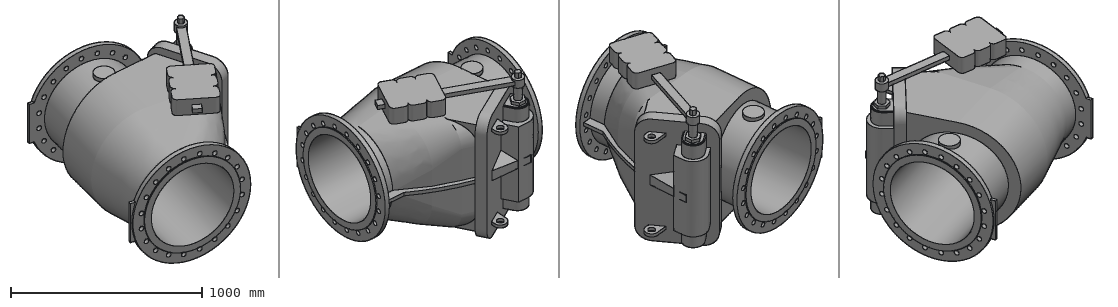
import cadquery as cq
import math


LENGTH = 1100.0
BORE_DIA = 500.0
PIPE_DIA = 546.0
FLANGE_DIA = 715.0
FLANGE_THICK = 29.0
RAISED_FACE_DIA = 582.0
RAISED_FACE_HEIGHT = 8.0
BOLT_COUNT = 20
BOLT_DIA = 28.0
BOLT_CIRCLE_DIA = 617.0
FOOT_REACH = 365.0
FOOT_DEPTH = 44.0
FOOT_WIDTH = 250.0
FOOT_THICK = 16.0

BOSS_DIA = 114.0
BOSS_X = 186.0
BOSS_TOP = 292.0

BODY_RADIUS = 341.0
FACE_AXIS_X = 283.0
FACE_LEAN = math.radians(9.9)
BODY_END_X = 636.0
BODY_TOP = 439.0
BODY_CORNER = 132.0
MIDDLE_X = 786.0
MIDDLE_TOP = 380.0
REDUCER_END_X = 968.0
REDUCER_END_FLAT = 1.0
SHOULDER_RUN = 79.0
SHOULDER_RISE = 28.0

BONNET_ANGLE = 30.0
BONNET_X = 160.0
BONNET_Y = 316.0
BONNET_LENGTH = 449.0
BONNET_WIDTH = 778.0
BONNET_CORNER = 91.0
COVER_THICK = 29.0
BODY_FLANGE_THICK = 37.0
TRUNK_INSET = 33.0

RIB_THICK = 22.0
RIB_MIDDLE = (781.0, 408.0)
RIB_END = (935.0, 326.0)

HOUSING_ALONG = 130.0
HOUSING_HEIGHT = 57.0
HOUSING_RADIUS = 84.0
HOUSING_SIDE = 227.0
HOUSING_WIDTH = 481.0
BEARING_RADIUS = 62.0
BEARING_WIDTH = 651.0
GLAND_RADIUS = 55.0
GLAND_THICK = 7.0

ROOF_START = (220.0, 517.0)
ROOF_END = (495.0, 498.0)
ROOF_BASE_Y = 396.0
ROOF_TOP_WIDTH = 44.0
ROOF_BASE_WIDTH = 176.0

LUG_X = 444.0
LUG_Y = 527.0
LUG_RADIUS = 40.0
LUG_HOLE_DIA = 40.0
LUG_THICK = 20.0
LUG_Z = 298.0
LUG_FOOT = 94.0

SHAFT_X = 242.0
SHAFT_Y = 433.0
SHAFT_DIA = 45.0
NUT_FLATS = 76.0
NUT_THICK = 20.0
HUB_DIA = 70.0
HUB_BOTTOM = 440.0
HUB_TOP = 491.0
TIP_FLATS = 33.0
OVERALL_HEIGHT = 913.0
LEVER_ANGLE = -24.0
LEVER_LENGTH = 773.0
LEVER_WIDTH = 52.0
LEVER_THICK = 25.0
LEVER_Z = 466.0
WEIGHT_COUNT = 3
WEIGHT_START = 426.0
WEIGHT_STACK = 308.0
WEIGHT_WIDTH = 253.0
WEIGHT_HEIGHT = 101.0
WEIGHT_CORNER = 26.0

PIPE_RADIUS = PIPE_DIA / 2
SHAFT_TOP = OVERALL_HEIGHT - BONNET_WIDTH / 2
WEIGHT_THICK = WEIGHT_STACK / WEIGHT_COUNT
BONNET_THICK = COVER_THICK + BODY_FLANGE_THICK
bonnet_cos = math.cos(math.radians(BONNET_ANGLE))
bonnet_sin = math.sin(math.radians(BONNET_ANGLE))


def rod(diameter, start, end):
    """Cylinder on the pipe axis from X = start to X = end."""
    return cq.Workplane("YZ", origin=(start, 0, 0)).circle(diameter / 2).extrude(end - start)


def upright(x, y, bottom):
    """Plane facing +Z at a height, with its origin at (x, y)."""
    return cq.Workplane("XY", origin=(x, y, bottom))


def hexagon(x, y, bottom, flats, height):
    """Upright hexagonal prism with two flats facing +Y and -Y."""
    across_corners = flats / math.cos(math.pi / 6)
    return upright(x, y, bottom).polygon(6, across_corners).extrude(height)


def on_bonnet(along, height):
    """(X, Y) of a point along the outer cover face and above it."""
    return (
        BONNET_X + along * bonnet_cos - height * bonnet_sin,
        BONNET_Y + along * bonnet_sin + height * bonnet_cos,
    )


def face_x(y):
    """X of the leaning inlet face at a given Y."""
    return FACE_AXIS_X - y * math.tan(FACE_LEAN)


def mirrored_ends(inlet_end):
    """The inlet end together with its mirror image at the outlet."""
    return inlet_end.union(inlet_end.mirror("YZ", (LENGTH / 2, 0, 0)))


def make_flanges():
    back = RAISED_FACE_HEIGHT + FLANGE_THICK
    flange = rod(FLANGE_DIA, RAISED_FACE_HEIGHT, back)
    bolts = (
        cq.Workplane("YZ")
        .polarArray(BOLT_CIRCLE_DIA / 2, 180 / BOLT_COUNT, 360, BOLT_COUNT)
        .circle(BOLT_DIA / 2)
        .extrude(back)
    )
    foot = cq.Workplane("XY").box(FOOT_THICK, FOOT_DEPTH, FOOT_WIDTH).translate(
        (back - FOOT_THICK / 2, FOOT_DEPTH / 2 - FOOT_REACH, 0)
    )
    raised_face = rod(RAISED_FACE_DIA, 0, RAISED_FACE_HEIGHT)
    return mirrored_ends(flange.union(foot).cut(bolts).union(raised_face))


def chamber_section(x, radius, top, corner):
    """U-shaped wire across the pipe: round below the axis, rounded corners at the top."""
    side_top = top - corner
    top_half = radius - corner
    slant = corner * math.sin(math.pi / 4)
    return (
        cq.Workplane("YZ", origin=(x, 0, 0))
        .moveTo(0, -radius)
        .threePointArc((-radius, 0), (0, radius))
        .lineTo(side_top, radius)
        .threePointArc((side_top + slant, top_half + slant), (top, top_half))
        .lineTo(top, -top_half)
        .threePointArc((side_top + slant, -top_half - slant), (side_top, -radius))
        .close()
        .wires()
        .val()
    )


def make_chamber():
    """Flat-sided chamber, round below the pipe axis, cut off by the leaning inlet face."""
    trunk_end = BONNET_LENGTH - TRUNK_INSET
    inlet_top = on_bonnet(0, -BONNET_THICK)
    seat_along = (face_x(inlet_top[1]) - inlet_top[0]) / (bonnet_cos + bonnet_sin * math.tan(FACE_LEAN))
    seat_start = on_bonnet(seat_along, -BONNET_THICK)
    seat_end = on_bonnet(trunk_end, -BONNET_THICK)
    wall_drop = (BODY_END_X - seat_end[0]) / math.tan(math.radians(BONNET_ANGLE))
    block = (
        cq.Workplane("XY")
        .polyline([
            (face_x(-BODY_RADIUS), -BODY_RADIUS),
            (BODY_END_X, -BODY_RADIUS),
            (BODY_END_X, seat_end[1] - wall_drop),
            seat_end,
            seat_start,
        ])
        .close()
        .extrude(BODY_RADIUS, both=True)
    )
    upper_space = cq.Workplane("XY").box(
        LENGTH, 2 * BODY_RADIUS, 2 * BODY_RADIUS, centered=(False, False, True)
    )
    return block.intersect(rod(2 * BODY_RADIUS, 0, LENGTH).union(upper_space))


def make_reducer():
    """Shoulder and two-step taper from the chamber end to the outlet pipe."""
    middle = (MIDDLE_X - BODY_END_X) / (REDUCER_END_X - BODY_END_X)
    end_corner = PIPE_RADIUS - REDUCER_END_FLAT
    start = chamber_section(BODY_END_X, BODY_RADIUS, BODY_TOP, BODY_CORNER)
    waist = chamber_section(
        MIDDLE_X,
        BODY_RADIUS + middle * (PIPE_RADIUS - BODY_RADIUS),
        MIDDLE_TOP,
        BODY_CORNER + middle * (end_corner - BODY_CORNER),
    )
    end = chamber_section(REDUCER_END_X, PIPE_RADIUS, PIPE_RADIUS, end_corner)
    taper = cq.Workplane(cq.Solid.makeLoft([start, waist, end], ruled=True))
    shoulder = cq.Solid.extrudeLinear(start, [], cq.Vector(-SHOULDER_RUN, SHOULDER_RISE, 0))
    return taper, cq.Workplane(shoulder)


def bonnet_plate(depth, thickness):
    """Rounded plate whose outer face lies at a depth below the outer cover face."""
    middle_x, middle_y = on_bonnet(BONNET_LENGTH / 2, -depth - thickness / 2)
    return (
        cq.Workplane("XY")
        .box(BONNET_LENGTH, thickness, BONNET_WIDTH)
        .edges("|Y")
        .fillet(BONNET_CORNER)
        .rotate((0, 0, 0), (0, 0, 1), BONNET_ANGLE)
        .translate((middle_x, middle_y, 0))
    )


def make_rib():
    start = on_bonnet(BONNET_LENGTH, -BONNET_THICK)
    root = on_bonnet(BONNET_LENGTH - 2 * TRUNK_INSET, -BONNET_THICK)
    flange_x = LENGTH - RAISED_FACE_HEIGHT - FLANGE_THICK
    root_y = (BORE_DIA + PIPE_DIA) / 4
    return (
        cq.Workplane("XY")
        .moveTo(*start)
        .threePointArc(RIB_MIDDLE, RIB_END)
        .lineTo(flange_x, RIB_END[1])
        .lineTo(flange_x, root_y)
        .lineTo(root[0], root_y)
        .lineTo(*root)
        .close()
        .extrude(RIB_THICK / 2, both=True)
    )


def housing_barrel(radius, bottom, top):
    """Half-round barrel along Z with flat sides running down to the cover."""
    middle = HOUSING_ALONG
    return (
        upright(0, 0, bottom)
        .moveTo(*on_bonnet(middle - radius, 0))
        .lineTo(*on_bonnet(middle - radius, HOUSING_HEIGHT))
        .threePointArc(
            on_bonnet(middle, HOUSING_HEIGHT + radius),
            on_bonnet(middle + radius, HOUSING_HEIGHT),
        )
        .lineTo(*on_bonnet(middle + radius, 0))
        .close()
        .extrude(top - bottom)
    )


def make_housing():
    """Main barrel squared off on its outlet side, with a narrower bearing at each end."""
    barrel = housing_barrel(HOUSING_RADIUS, -HOUSING_WIDTH / 2, HOUSING_WIDTH / 2)
    crest_along = HOUSING_ALONG + HOUSING_RADIUS * bonnet_sin
    crest_height = HOUSING_HEIGHT + HOUSING_RADIUS * bonnet_cos
    corner_height = crest_height - (HOUSING_SIDE - crest_along) * bonnet_sin / bonnet_cos
    squared_side = (
        upright(0, 0, -HOUSING_WIDTH / 2)
        .polyline([
            on_bonnet(HOUSING_ALONG, 0),
            on_bonnet(HOUSING_ALONG, HOUSING_HEIGHT),
            on_bonnet(crest_along, crest_height),
            on_bonnet(HOUSING_SIDE, corner_height),
            on_bonnet(HOUSING_SIDE, 0),
        ])
        .close()
        .extrude(HOUSING_WIDTH)
    )
    bearings = housing_barrel(BEARING_RADIUS, -BEARING_WIDTH / 2, BEARING_WIDTH / 2)
    gland = housing_barrel(GLAND_RADIUS, BEARING_WIDTH / 2, BEARING_WIDTH / 2 + GLAND_THICK)
    return barrel.union(squared_side).union(bearings).union(gland)


def make_roof_rib():
    """Rib with sloping sides from the top of the housing to the cover."""
    outline = (
        cq.Workplane("XY")
        .polyline([ROOF_START, ROOF_END, on_bonnet(HOUSING_ALONG, 0)])
        .close()
        .extrude(ROOF_BASE_WIDTH, both=True)
    )
    slopes = (
        cq.Workplane("YZ", origin=(ROOF_START[0], 0, 0))
        .polyline([
            (ROOF_BASE_Y, -ROOF_BASE_WIDTH / 2),
            (ROOF_START[1], -ROOF_TOP_WIDTH / 2),
            (ROOF_START[1], ROOF_TOP_WIDTH / 2),
            (ROOF_BASE_Y, ROOF_BASE_WIDTH / 2),
        ])
        .close()
        .extrude(ROOF_END[0] - ROOF_START[0])
    )
    return outline.intersect(slopes)


def make_lugs():
    lug = (
        upright(LUG_X, LUG_Y, LUG_Z - LUG_THICK / 2)
        .moveTo(-LUG_RADIUS, -LUG_FOOT)
        .lineTo(-LUG_RADIUS, 0)
        .threePointArc((0, LUG_RADIUS), (LUG_RADIUS, 0))
        .lineTo(LUG_RADIUS, 2 * LUG_RADIUS * bonnet_sin / bonnet_cos - LUG_FOOT)
        .close()
        .extrude(LUG_THICK)
    )
    hole = upright(LUG_X, LUG_Y, 0).circle(LUG_HOLE_DIA / 2).extrude(BONNET_WIDTH)
    lug = lug.cut(hole)
    return lug.union(lug.mirror("XY"))


def make_shaft():
    gland_top = BEARING_WIDTH / 2 + GLAND_THICK
    nut = hexagon(SHAFT_X, SHAFT_Y, gland_top, NUT_FLATS, NUT_THICK)
    shaft = upright(SHAFT_X, SHAFT_Y, gland_top).circle(SHAFT_DIA / 2).extrude(HUB_BOTTOM - gland_top)
    hub = upright(SHAFT_X, SHAFT_Y, HUB_BOTTOM).circle(HUB_DIA / 2).extrude(HUB_TOP - HUB_BOTTOM)
    tip = hexagon(SHAFT_X, SHAFT_Y, HUB_TOP, TIP_FLATS, SHAFT_TOP - HUB_TOP)
    return nut.union(shaft).union(hub).union(tip)


def make_lever():
    """Lever bar and counterweights, laid along X from the shaft and then swung into place."""
    lever = cq.Workplane("XY").box(
        LEVER_LENGTH, LEVER_WIDTH, LEVER_THICK, centered=(False, True, True)
    )
    for index in range(WEIGHT_COUNT):
        weight = (
            cq.Workplane("XY")
            .box(WEIGHT_THICK, WEIGHT_WIDTH, WEIGHT_HEIGHT, centered=(False, True, True))
            .edges("|Z")
            .fillet(WEIGHT_CORNER)
            .translate((WEIGHT_START + index * WEIGHT_THICK, 0, 0))
        )
        lever = lever.union(weight, clean=False)
    return lever.rotate((0, 0, 0), (0, 0, 1), LEVER_ANGLE).translate((SHAFT_X, SHAFT_Y, LEVER_Z))


boss_pair = upright(BOSS_X, 0, 0).circle(BOSS_DIA / 2).extrude(BOSS_TOP, both=True)
chamber = make_chamber()
taper, shoulder = make_reducer()
added_parts = [
    boss_pair,
    chamber,
    shoulder.cut(chamber),
    taper,
    make_rib(),
    make_flanges(),
    bonnet_plate(0, COVER_THICK),
    bonnet_plate(COVER_THICK, BODY_FLANGE_THICK),
    make_housing(),
    make_roof_rib(),
    make_lugs(),
    make_shaft(),
    make_lever(),
]

result = rod(PIPE_DIA, RAISED_FACE_HEIGHT, LENGTH - RAISED_FACE_HEIGHT)
for part in added_parts:
    result = result.union(part, clean=False)
result = result.cut(rod(BORE_DIA, 0, LENGTH), clean=False)